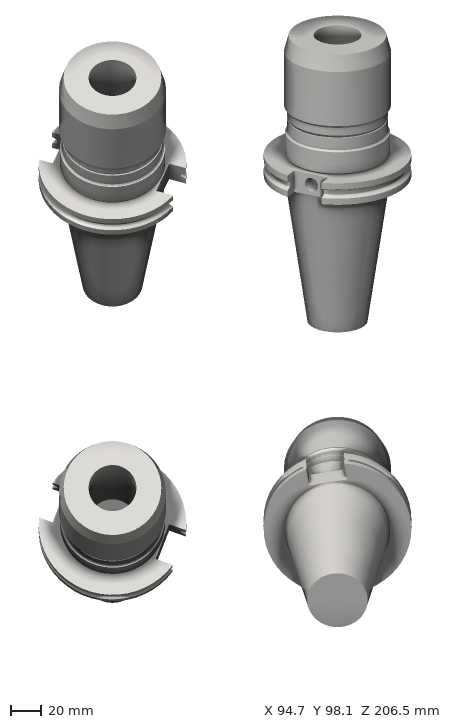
import cadquery as cq

total_height = 206.5

taper_tip_radius = 20.0
gauge_radius = 35.0
gauge_height = 101.9

flange_diameter = 98.1
flange_radius = flange_diameter / 2
flange_bottom = 105.0
flange_top = 120.5
groove_root_radius = 45.7
groove_half_width = 3.3
groove_center = (flange_bottom + flange_top) / 2
groove_rise = 1.7

relief_depth = 0.6
relief_height = 1.0
collar_top = 136.8
collar_ledge_radius = 34.3

neck_radius = 33.5
neck_bottom = 137.8
ring_groove_bottom = 146.5
ring_groove_height = 1.9
ring_groove_depth = 1.2

head_radius = 35.5
head_ledge_radius = 35.0
head_bottom = 156.0
head_undercut_height = 2.0
bevel_height = 11.4
nose_radius = 32.5

bore_radius = 16.0
bore_depth = 82.6

slot_width = 25.6
left_slot_floor = 37.5
right_slot_floor = 35.3

pin_hole_radius = 5.0
pin_hole_depth = 10.3


def revolved_body():
    """Solid of revolution from the half profile of the whole holder."""
    profile = [
        (0, 0),
        (taper_tip_radius, 0),
        (gauge_radius, gauge_height),
        (gauge_radius, flange_bottom),
        (flange_radius, flange_bottom),
        (flange_radius, groove_center - groove_half_width),
        (groove_root_radius, groove_center - groove_half_width + groove_rise),
        (groove_root_radius, groove_center + groove_half_width - groove_rise),
        (flange_radius, groove_center + groove_half_width),
        (flange_radius, flange_top),
        (gauge_radius - relief_depth, flange_top),
        (gauge_radius, flange_top + relief_height),
        (gauge_radius, collar_top),
        (collar_ledge_radius, collar_top),
        (neck_radius, neck_bottom),
        (neck_radius, ring_groove_bottom),
        (neck_radius - ring_groove_depth, ring_groove_bottom),
        (neck_radius, ring_groove_bottom + ring_groove_height),
        (neck_radius, head_bottom - head_undercut_height),
        (head_ledge_radius, head_bottom),
        (head_radius, head_bottom),
        (head_radius, total_height - bevel_height),
        (nose_radius, total_height),
        (0, total_height),
    ]
    return cq.Workplane("XZ").polyline(profile).close().revolve(360, (0, 0, 0), (0, 1, 0))


def drive_slot(side, floor):
    """Box that opens the flange on one side (-1 or +1 along X) down to the slot floor."""
    length = flange_radius
    height = flange_top - flange_bottom
    center_x = side * (floor + length / 2)
    return cq.Workplane("XY").box(length, slot_width, height).translate((center_x, 0, groove_center))


def pin_hole():
    """Cylinder running inward along +X from the left slot floor."""
    return (
        cq.Workplane("YZ", origin=(-left_slot_floor, 0, groove_center))
        .circle(pin_hole_radius)
        .extrude(pin_hole_depth)
    )


def tool_bore():
    """Blind bore running down from the nose."""
    return (
        cq.Workplane("XY", origin=(0, 0, total_height - bore_depth))
        .circle(bore_radius)
        .extrude(bore_depth)
    )


result = (
    revolved_body()
    .cut(drive_slot(-1, left_slot_floor))
    .cut(drive_slot(1, right_slot_floor))
    .cut(pin_hole())
    .cut(tool_bore())
)